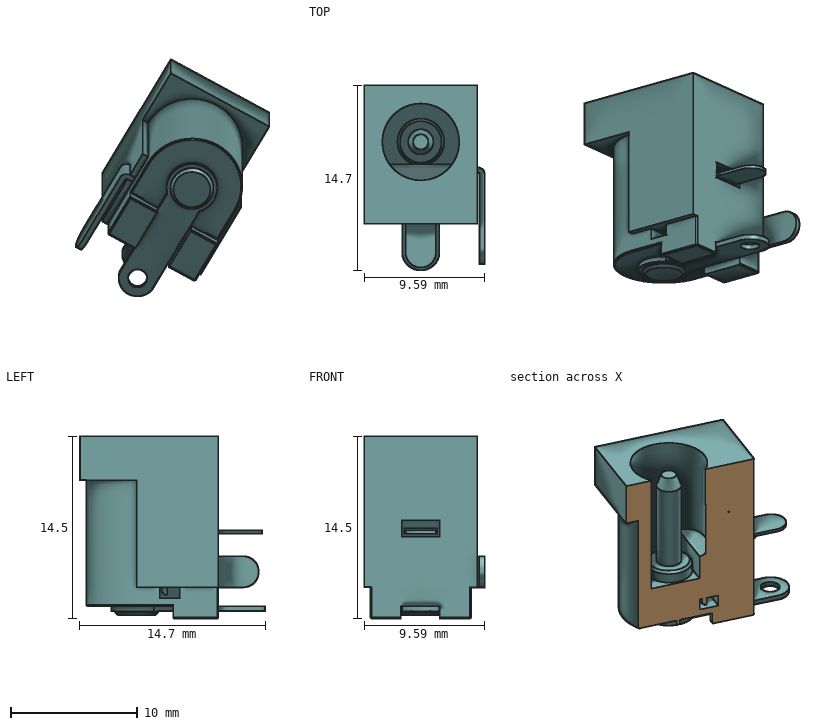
import cadquery as cq
import math


overall_length = 14.7
total_height = 14.5
housing_width = 9.0
housing_back = 4.5
housing_front = -6.5
housing_bottom = 2.5
flange_height = 3.5
flange_bottom = total_height - flange_height

cap_width = 8.0
barrel_diameter = cap_width
cap_floor = 1.0
foot_length = 3.6
foot_slot_left = -1.59
foot_slot_right = 1.5
cap_chamfer = 0.1

bore_diameter = 6.1
bore_depth = 10.0
bore_floor = total_height - bore_depth
pin_diameter = 2.0
pin_tip_diameter = 1.2
pin_tip_depth = 1.09
pin_tip_height = 1.0
collar_diameter = 3.7
collar_height = 1.0
collar_chamfer = 0.2

leaf_thickness = 0.25
leaf_end = -1.8
leaf_slope_angle = 22.5
leaf_end_slope_angle = 9.0

spring_leg_width = 2.4
spring_root_width = 2.62
spring_leg_top = 7.0
spring_leg_reach = 3.47
recess_width = 3.0
recess_bottom = 6.5
recess_top = 7.79
recess_depth = 1.18
spring_root_top = 7.17
spring_ramp_length = 0.26

plate_thickness = 0.4
pin_leg_width = 2.94
pin_leg_end_diameter = 3.0
pin_leg_reach = overall_length + housing_front - housing_back
pin_leg_hole = 1.5
pin_plate_diameter = 4.01
rivet_diameter = 3.41
rivet_height = 0.34
rivet_chamfer = 0.24

side_thickness = 0.43
side_leg_height = 2.5
side_leg_bottom = 2.47
side_leg_outer = 5.09
side_leg_back = -2.01
side_leg_reach = 3.2
side_bend_radius = side_leg_outer - housing_width / 2

slot_back = -1.85
slot_front = -3.41
slot_bottom = 1.6
slot_end = 0.0
blade_bottom = 1.88
blade_corner = 0.25
blade_left = -2.2


def block(x_range, y_range, z_range):
    """Box between the given pairs of limits."""
    size = [high - low for low, high in (x_range, y_range, z_range)]
    corner = (x_range[0], y_range[0], z_range[0])
    return cq.Workplane("XY").box(*size, centered=False).translate(corner)


def centered_block(width, y_range, z_range):
    """Box symmetric about X = 0."""
    return block((-width / 2, width / 2), y_range, z_range)


def cylinder(diameter, bottom, top):
    """Upright cylinder on the socket axis."""
    return cq.Workplane("XY").workplane(offset=bottom).circle(diameter / 2).extrude(top - bottom)


def make_housing():
    flange = centered_block(housing_width, (housing_front, housing_back), (flange_bottom, total_height))
    base = centered_block(housing_width, (housing_front, 0), (housing_bottom, flange_bottom))
    barrel = cylinder(barrel_diameter, housing_bottom, flange_bottom)
    return flange.union(base).union(barrel)


def make_cap():
    foot_back = housing_front + foot_length
    floor = centered_block(cap_width, (foot_back, 0), (cap_floor, housing_bottom))
    floor = floor.union(cylinder(barrel_diameter, cap_floor, housing_bottom))
    floor = floor.faces("<Z").edges("not <Y").chamfer(cap_chamfer)
    foot = centered_block(cap_width, (housing_front, foot_back), (0, housing_bottom))
    foot = foot.edges("<Z or (|Z and <Y)").chamfer(cap_chamfer)
    foot_slot = block((foot_slot_left, foot_slot_right), (housing_front, foot_back), (0, cap_floor))
    side_slot = block(
        (-cap_width / 2, slot_end), (slot_front, slot_back), (slot_bottom, housing_bottom)
    )
    return floor.union(foot).cut(foot_slot).cut(side_slot)


def make_spring_recess():
    return centered_block(
        recess_width, (housing_front, housing_front + recess_depth), (recess_bottom, recess_top)
    )


def make_pin():
    pin_top = total_height - pin_tip_depth
    return (
        cq.Workplane("XZ")
        .moveTo(0, bore_floor)
        .lineTo(pin_diameter / 2, bore_floor)
        .lineTo(pin_diameter / 2, pin_top - pin_tip_height)
        .lineTo(pin_tip_diameter / 2, pin_top)
        .lineTo(0, pin_top)
        .close()
        .revolve(360, (0, 0), (0, 1))
    )


def make_collar():
    collar = cylinder(collar_diameter, bore_floor, bore_floor + collar_height)
    return collar.faces(">Z").chamfer(collar_chamfer)


def make_leaf():
    wall = -bore_diameter / 2
    bend = leaf_end - leaf_thickness
    bend_height = spring_leg_top - (bend - wall) * math.tan(math.radians(leaf_slope_angle))
    end_height = bend_height - leaf_thickness * math.tan(math.radians(leaf_end_slope_angle))
    leaf = (
        cq.Workplane("YZ")
        .polyline(
            [
                (wall, bore_floor),
                (wall, spring_leg_top),
                (bend, bend_height),
                (leaf_end, end_height),
                (leaf_end, bore_floor),
            ]
        )
        .close()
        .extrude(bore_diameter / 2, both=True)
    )
    return leaf.intersect(cylinder(bore_diameter, bore_floor, total_height))


def make_spring_leg():
    """Leg with a round tip, widening at the front face and rising to the back of the recess."""
    bottom = spring_leg_top - leaf_thickness
    radius = spring_leg_width / 2
    tip_center = housing_front - spring_leg_reach + radius
    flare = (spring_root_width - spring_leg_width) / 2
    recess_back = housing_front + recess_depth
    strip = (
        cq.Workplane("XY")
        .workplane(offset=bottom)
        .moveTo(spring_root_width / 2, recess_back)
        .lineTo(spring_root_width / 2, housing_front + flare)
        .lineTo(radius, housing_front)
        .lineTo(radius, tip_center)
        .threePointArc((0, tip_center - radius), (-radius, tip_center))
        .lineTo(-radius, housing_front)
        .lineTo(-spring_root_width / 2, housing_front + flare)
        .lineTo(-spring_root_width / 2, recess_back)
        .close()
        .extrude(leaf_thickness)
    )
    ramp = (
        cq.Workplane("YZ")
        .polyline(
            [
                (recess_back - spring_ramp_length, spring_leg_top),
                (recess_back, spring_root_top),
                (recess_back, bottom),
                (recess_back - spring_ramp_length, bottom),
            ]
        )
        .close()
        .extrude(spring_root_width / 2, both=True)
    )
    return strip.union(ramp)


def make_pin_terminal():
    bottom = cap_floor - plate_thickness
    half_width = pin_leg_width / 2
    end_radius = pin_leg_end_diameter / 2
    tip = housing_front - pin_leg_reach
    end_center = tip + end_radius
    arc_start = end_center - math.sqrt(end_radius**2 - half_width**2)
    leg = (
        cq.Workplane("XY")
        .workplane(offset=bottom)
        .moveTo(half_width, 0)
        .lineTo(half_width, arc_start)
        .threePointArc((0, tip), (-half_width, arc_start))
        .lineTo(-half_width, 0)
        .close()
        .extrude(plate_thickness)
    )
    hole = cylinder(pin_leg_hole, bottom, cap_floor).translate((0, end_center, 0))
    plate = cylinder(pin_plate_diameter, bottom, cap_floor)
    rivet = cylinder(rivet_diameter, bottom - rivet_height, bottom)
    rivet = rivet.faces("<Z").chamfer(rivet_chamfer)
    return leg.cut(hole).union(plate).union(rivet)


def make_side_terminal():
    """Strip leaving the +X face, bent forward and ending in a round tip."""
    face = housing_width / 2
    inner = side_leg_outer - side_thickness
    bend_center = side_leg_back - side_bend_radius
    inner_radius = side_bend_radius - side_thickness
    diagonal = math.sqrt(0.5)
    tip_radius = side_leg_height / 2
    tip_center = housing_front - side_leg_reach + tip_radius
    strip = (
        cq.Workplane("XY")
        .workplane(offset=side_leg_bottom)
        .moveTo(0, side_leg_back)
        .lineTo(face, side_leg_back)
        .threePointArc(
            (face + side_bend_radius * diagonal, bend_center + side_bend_radius * diagonal),
            (side_leg_outer, bend_center),
        )
        .lineTo(side_leg_outer, tip_center)
        .lineTo(inner, tip_center)
        .lineTo(inner, bend_center)
        .threePointArc(
            (face + inner_radius * diagonal, bend_center + inner_radius * diagonal),
            (face, side_leg_back - side_thickness),
        )
        .lineTo(0, side_leg_back - side_thickness)
        .close()
        .extrude(side_leg_height)
    )
    tip = (
        cq.Workplane("YZ")
        .workplane(offset=inner)
        .center(tip_center, side_leg_bottom + tip_radius)
        .circle(tip_radius)
        .extrude(side_thickness)
    )
    return strip.union(tip)


def make_blade():
    """Lower end of the side terminal, standing out from the inner end of the side slot."""
    front = side_leg_back - side_thickness
    return (
        cq.Workplane("YZ")
        .workplane(offset=blade_left)
        .polyline(
            [
                (side_leg_back, housing_bottom),
                (side_leg_back, blade_bottom + blade_corner),
                (side_leg_back - blade_corner, blade_bottom),
                (front, blade_bottom),
                (front, housing_bottom),
            ]
        )
        .close()
        .extrude(slot_end - blade_left)
    )


result = make_housing().union(make_cap()).cut(make_spring_recess())
result = result.union(make_side_terminal()).union(make_blade())
result = result.cut(cylinder(bore_diameter, bore_floor, total_height))
result = result.union(make_collar()).union(make_pin()).union(make_leaf())
result = result.union(make_spring_leg()).union(make_pin_terminal())